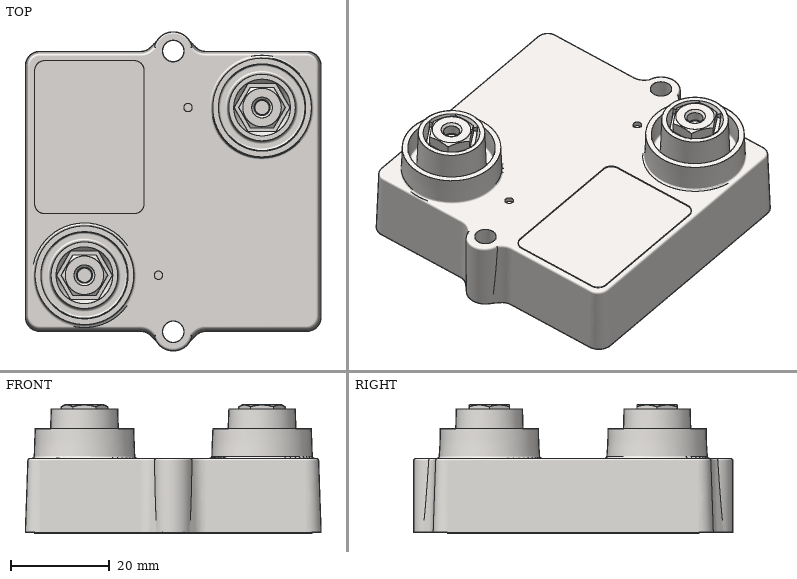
import cadquery as cq
import math

housing_length = 60.0
housing_width = 56.8
corner_radius = 3.0
draft_angle = 2.0
top_edge_radius = 0.5

plate_length = 56.2
plate_width = 51.0
plate_thickness = 0.2

housing_bottom_z = plate_thickness
housing_top_z = 15.2
collar_top_z = 21.2
sleeve_top_z = 25.2
terminal_top_z = 26.1

ear_radius = 3.9
ear_reach = 32.35
ear_center_y = ear_reach - ear_radius
ear_hole_diameter = 4.3
ear_flank_angle = 45.0
ear_flank_offset = 3.8
ear_root_radius = 2.7

label_length = 22.2
label_width = 31.0
label_center = (-17.0, 11.0)
label_corner_radius = 2.0
label_depth = 0.2

vent_diameter = 1.7
vent_depth = 1.0
vent_positions = [(3.0, 17.0), (-3.0, -17.0)]

tower_positions = [(18.0, 17.0), (-18.0, -17.0)]
collar_top_radius = 10.0
collar_root_radius = 0.4
groove_top_radius = 8.85
groove_floor_z = 16.2
sleeve_top_radius = 6.75
groove_floor_fillet = 0.4
tower_overlap = 0.5

socket_flats = 9.8
socket_depth = 1.7
socket_floor_z = sleeve_top_z - socket_depth
socket_mouth_diameter = 11.5
socket_mouth_depth = 1.7

terminal_flats = 8.2
terminal_face_diameter = 7.8
terminal_chamfer_angle = 30.0
bore_diameter = 3.24
bore_depth = 2.5
bore_mouth_diameter = 4.2
drill_point_angle = 118.0

edge_margin = 0.05


def across_corners(flats):
    return flats / math.cos(math.radians(30))


def housing_block():
    """Drafted block with rounded corners, including the drafted webs that carry the ears."""
    height = housing_top_z - housing_bottom_z
    block = (
        cq.Workplane("XY")
        .rect(housing_length, housing_width)
        .extrude(height)
        .edges("|Z")
        .fillet(corner_radius)
    )
    normal = math.radians(ear_flank_angle)
    tip_x = ear_flank_offset * math.cos(normal)
    tip_y = ear_center_y + ear_flank_offset * math.sin(normal)
    web_depth = tip_y - housing_width / 4
    root_x = tip_x + web_depth * math.tan(normal)
    for side in (1, -1):
        web = (
            cq.Workplane("XY")
            .moveTo(root_x, side * (tip_y - web_depth))
            .lineTo(tip_x, side * tip_y)
            .lineTo(-tip_x, side * tip_y)
            .lineTo(-root_x, side * (tip_y - web_depth))
            .close()
            .extrude(height)
        )
        block = block.union(web)
    web_roots = cq.selectors.BoxSelector(
        (-housing_length / 4, -housing_width / 2 - edge_margin, -edge_margin),
        (housing_length / 4, housing_width / 2 + edge_margin, height + edge_margin),
        boundingbox=True,
    )
    block = block.edges("|Z").edges(web_roots).fillet(ear_root_radius)
    outline = block.faces("<Z").wires().val()
    drafted = cq.Workplane("XY").add(outline).toPending().extrude(height, taper=draft_angle)
    for side in (1, -1):
        ear = cq.Workplane("XY").center(0, side * ear_center_y).circle(ear_radius).extrude(height)
        drafted = drafted.union(ear)
    drafted = drafted.faces(">Z").edges().fillet(top_edge_radius)
    return drafted.translate((0, 0, housing_bottom_z))


def tower_blank():
    """Collar, groove and sleeve of one tower, revolved about the Z axis."""
    draft = math.tan(math.radians(draft_angle))
    collar_base_radius = collar_top_radius + (collar_top_z - housing_top_z) * draft
    groove_floor_radius = groove_top_radius - (collar_top_z - groove_floor_z) * draft
    sleeve_base_radius = sleeve_top_radius + (sleeve_top_z - groove_floor_z) * draft
    root_radius = collar_base_radius + collar_root_radius
    tower = (
        cq.Workplane("XZ")
        .moveTo(0, housing_top_z - tower_overlap)
        .lineTo(collar_base_radius, housing_top_z - tower_overlap)
        .lineTo(root_radius, housing_top_z)
        .radiusArc((collar_base_radius, housing_top_z + collar_root_radius), collar_root_radius)
        .lineTo(collar_top_radius, collar_top_z)
        .lineTo(groove_top_radius, collar_top_z)
        .lineTo(groove_floor_radius, groove_floor_z)
        .lineTo(sleeve_base_radius, groove_floor_z)
        .lineTo(sleeve_top_radius, sleeve_top_z)
        .lineTo(0, sleeve_top_z)
        .close()
        .revolve(360, (0, 0, 0), (0, 1, 0))
    )
    groove_floor = cq.selectors.BoxSelector(
        (-groove_top_radius, -groove_top_radius, groove_floor_z - edge_margin),
        (groove_top_radius, groove_top_radius, groove_floor_z + edge_margin),
        boundingbox=True,
    )
    return tower.edges(groove_floor).fillet(groove_floor_fillet)


def cone(base_radius, top_radius, base_z, height):
    return cq.Workplane(cq.Solid.makeCone(base_radius, top_radius, height, pnt=cq.Vector(0, 0, base_z)))


def terminal_socket():
    """Hexagonal socket with a conical lead-in at the mouth, ready to be cut from a sleeve."""
    socket = (
        cq.Workplane("XY", origin=(0, 0, socket_floor_z))
        .polygon(6, across_corners(socket_flats))
        .extrude(socket_depth)
    )
    mouth_base_z = sleeve_top_z - socket_mouth_depth
    lead_in = cone(socket_flats / 2, socket_mouth_diameter / 2, mouth_base_z, socket_mouth_depth)
    return socket.union(lead_in)


def terminal():
    """Hexagonal terminal standing on the socket floor, with a blind drilled hole."""
    height = terminal_top_z - socket_floor_z
    blank = (
        cq.Workplane("XY", origin=(0, 0, socket_floor_z))
        .polygon(6, across_corners(terminal_flats))
        .extrude(height)
    )
    slope = math.tan(math.radians(terminal_chamfer_angle))
    face_radius = terminal_face_diameter / 2
    envelope = cone(face_radius + height / slope, face_radius, socket_floor_z, height)
    bore_radius = bore_diameter / 2
    mouth_depth = (bore_mouth_diameter - bore_diameter) / 2
    point_depth = bore_radius / math.tan(math.radians(drill_point_angle / 2))
    bore = (
        cq.Workplane("XZ")
        .moveTo(0, terminal_top_z)
        .lineTo(bore_mouth_diameter / 2, terminal_top_z)
        .lineTo(bore_radius, terminal_top_z - mouth_depth)
        .lineTo(bore_radius, terminal_top_z - bore_depth)
        .lineTo(0, terminal_top_z - bore_depth - point_depth)
        .close()
        .revolve(360, (0, 0, 0), (0, 1, 0))
    )
    return blank.intersect(envelope).cut(bore)


def housing():
    """Moulded housing: block, ears, label recess, vents and the two socketed towers."""
    body = housing_block()

    label_recess = (
        cq.Workplane("XY", origin=(*label_center, housing_top_z - label_depth))
        .rect(label_length, label_width)
        .extrude(label_depth)
        .edges("|Z")
        .fillet(label_corner_radius)
    )
    body = body.cut(label_recess)

    ear_holes = (
        cq.Workplane("XY", origin=(0, 0, housing_bottom_z))
        .pushPoints([(0, ear_center_y), (0, -ear_center_y)])
        .circle(ear_hole_diameter / 2)
        .extrude(housing_top_z - housing_bottom_z)
    )
    vents = (
        cq.Workplane("XY", origin=(0, 0, housing_top_z - vent_depth))
        .pushPoints(vent_positions)
        .circle(vent_diameter / 2)
        .extrude(vent_depth)
    )
    body = body.cut(ear_holes).cut(vents)

    tower = tower_blank().cut(terminal_socket())
    for x, y in tower_positions:
        body = body.union(tower.translate((x, y, 0)))
    return body


def base_plate():
    return cq.Workplane("XY").rect(plate_length, plate_width).extrude(plate_thickness)


case = housing()
plate = base_plate()
terminals = [terminal().translate((x, y, 0)) for x, y in tower_positions]

result = cq.Compound.makeCompound([case.val(), plate.val(), *[pin.val() for pin in terminals]])